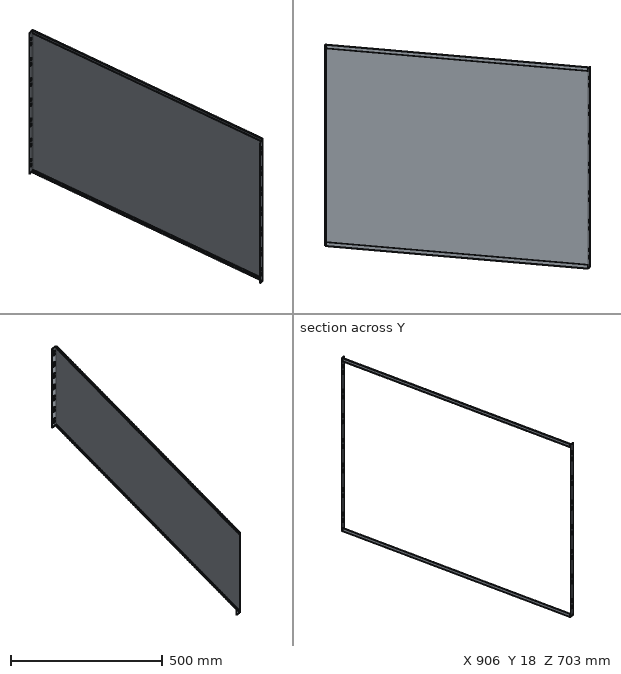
import cadquery as cq

width = 906.0
depth = 18.0
height = 703.0

sheet = 1.0
flange_bend_radius = 3.0
hem_thickness = 3 * sheet
hem_height = 14.0

flange_end_gap = 3.0
hem_end_gap = 4.0
flange_corner_radius = 4.5

hole_diameter = 11.0
hole_setback = depth / 2
pair_count = 7
pair_spacing = 25.0
hole_span = 625.0
pair_pitch = (hole_span - pair_spacing) / (pair_count - 1)

flange_height = height - 2 * flange_end_gap
hem_width = width - 2 * hem_end_gap


def flanged_plate():
    """Plate with both side flanges bent toward -Y; its back face lies on Y = 0."""
    outer = (
        cq.Workplane("XY")
        .box(width, depth, flange_height)
        .translate((0, -depth / 2, 0))
        .edges("|Z and >Y")
        .fillet(flange_bend_radius)
    )
    inner = (
        cq.Workplane("XY")
        .box(width - 2 * sheet, depth, flange_height)
        .translate((0, -depth / 2 - sheet, 0))
        .edges("|Z and >Y")
        .fillet(flange_bend_radius - sheet)
    )
    return outer.cut(inner).edges("|X and <Y").fillet(flange_corner_radius)


def hemmed_plate():
    """Plate whose top and bottom edges fold squarely forward and back over its face."""
    gap_thickness = hem_thickness - 2 * sheet
    plate = cq.Workplane("XY").box(hem_width, sheet, height).translate((0, -sheet / 2, 0))
    hem = (
        cq.Workplane("XY")
        .box(hem_width, hem_thickness, hem_height)
        .cut(cq.Workplane("XY").box(hem_width, gap_thickness, hem_height).translate((0, 0, -sheet)))
        .translate((0, -hem_thickness / 2, (height - hem_height) / 2))
    )
    return plate.union(hem).union(hem.mirror("XY"))


def flange_holes():
    """Cylinders along X that pierce both side flanges."""
    centres = []
    for pair in range(pair_count):
        lower_z = pair * pair_pitch - hole_span / 2
        centres.append((-hole_setback, lower_z))
        centres.append((-hole_setback, lower_z + pair_spacing))
    return (
        cq.Workplane("YZ")
        .pushPoints(centres)
        .circle(hole_diameter / 2)
        .extrude(width / 2 + sheet, both=True)
    )


result = flanged_plate().union(hemmed_plate()).cut(flange_holes())